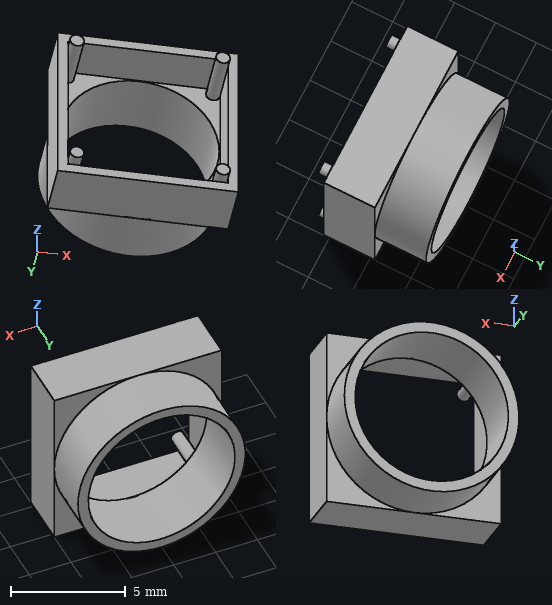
import cadquery as cq

side = 8.0
frame_depth = 2.5
barrel_depth = 2.5
bore_diameter = 7.0

pocket_side = 7.08
floor_thickness = 0.5
pocket_depth = frame_depth - floor_thickness

pin_diameter = 0.62
pin_protrusion = 0.5
pin_length = pocket_depth + pin_protrusion
pin_offset = (pocket_side - pin_diameter) / 2


def plane_at(y):
    """Plane at depth y with its normal along +Y."""
    return cq.Workplane(cq.Plane(origin=(0, y, 0), xDir=(1, 0, 0), normal=(0, 1, 0)))


def make_housing():
    """Frame and barrel in one piece; the frame's front face lies at Y = 0."""
    frame = plane_at(0).rect(side, side).extrude(frame_depth)
    barrel = plane_at(frame_depth).circle(side / 2).extrude(barrel_depth)
    pocket = plane_at(0).rect(pocket_side, pocket_side).extrude(pocket_depth)
    bore = plane_at(0).circle(bore_diameter / 2).extrude(frame_depth + barrel_depth)
    return frame.union(barrel).cut(pocket).cut(bore)


def make_pin(x, z):
    """Round pin from the pocket floor out past the front face."""
    pin = plane_at(-pin_protrusion).circle(pin_diameter / 2).extrude(pin_length)
    return pin.translate((x, 0, z))


housing = make_housing()

pins = []
for x_sign in (-1, 1):
    for z_sign in (-1, 1):
        pins.append(make_pin(x_sign * pin_offset, z_sign * pin_offset))

result = cq.Compound.makeCompound([housing.val(), *[pin.val() for pin in pins]])